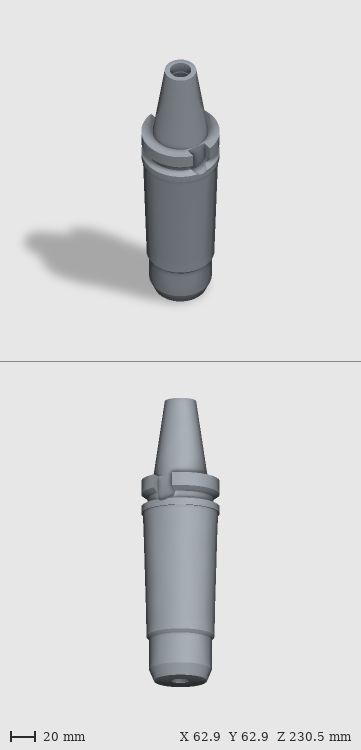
import cadquery as cq

total_height = 230.5

nose_tip_radius = 21.2
nose_radius = 25.0
nose_chamfer_top = 9.2
nose_top = 33.9

band_radius = 27.5
band_bottom = 36.6
band_top = 45.0
body_top_radius = 30.2

flange_radius = 31.45
flange_bottom = 138.0
flange_top = 164.7
groove_radius = 26.5
groove_lower_edge = 143.5
groove_floor_bottom = 146.0
groove_floor_top = 150.5
groove_upper_edge = 154.0

taper_base_radius = 22.23
taper_tip_radius = 12.7
collar_height = 1.0

bore_radius = 7.1
counterbore_radius = 8.5
counterbore_depth = 9.0

slot_width = 16.1
slot_depth = 22.5
slot_floor_x = 22.5


def make_body():
    """Revolve the outer profile, listed from bottom to top as (radius, height)."""
    outline = [
        (0, 0),
        (nose_tip_radius, 0),
        (nose_radius, nose_chamfer_top),
        (nose_radius, nose_top),
        (band_radius, band_bottom),
        (band_radius, band_top),
        (body_top_radius, flange_bottom),
        (flange_radius, flange_bottom),
        (flange_radius, groove_lower_edge),
        (groove_radius, groove_floor_bottom),
        (groove_radius, groove_floor_top),
        (flange_radius, groove_upper_edge),
        (flange_radius, flange_top),
        (taper_base_radius, flange_top),
        (taper_base_radius, flange_top + collar_height),
        (taper_tip_radius, total_height),
        (0, total_height),
    ]
    return cq.Workplane("XZ").polyline(outline).close().revolve(360, (0, 0), (0, 1))


def cut_bore(body):
    """Cut the through bore and its counterbore from the shank end."""
    bore = cq.Workplane("XY").circle(bore_radius).extrude(total_height)
    counterbore = (
        cq.Workplane("XY", origin=(0, 0, total_height))
        .circle(counterbore_radius)
        .extrude(-counterbore_depth)
    )
    return body.cut(bore).cut(counterbore)


def make_drive_slot(side):
    """Round-bottomed slot cutter; side is -1 for -X and +1 for +X."""
    half_width = slot_width / 2
    slot_bottom = flange_top - slot_depth
    arc_start = slot_bottom + half_width
    return (
        cq.Workplane("YZ", origin=(side * slot_floor_x, 0, 0))
        .moveTo(-half_width, flange_top)
        .lineTo(-half_width, arc_start)
        .threePointArc((0, slot_bottom), (half_width, arc_start))
        .lineTo(half_width, flange_top)
        .close()
        .extrude(side * flange_radius)
    )


result = cut_bore(make_body())
for side in (-1, 1):
    result = result.cut(make_drive_slot(side))